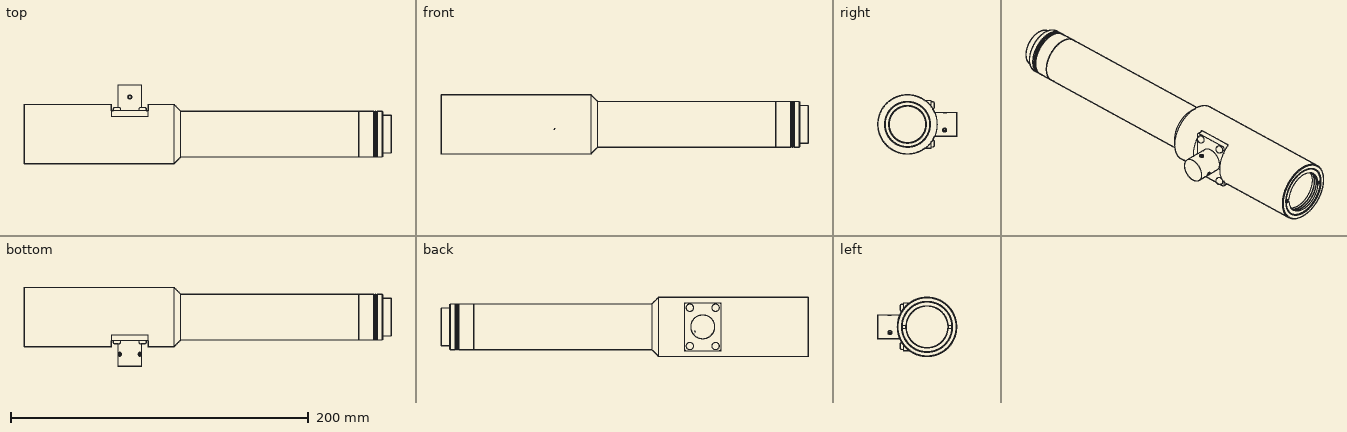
import cadquery as cq
import math


total_length = 247.0
head_radius = 40.0 / 2
tube_radius = 31.0 / 2
nose_radius = 25.5 / 2
head_edge_chamfer = 0.5
cone_length = head_radius - tube_radius
cone_start = 100.8
collar_start = 224.8
collar_end = 241.0
collar_chamfer = 0.5
nose_chamfer = 0.5
seam_width = 0.2
seam_depth = 0.12

groove_start = 234.7
groove_width = 1.5
groove_depth = 0.2
groove_count = 2

ring_radius = 33.3 / 2
ring_bore_radius = 28.0 / 2
ring_relief_radius = 28.7 / 2
ring_relief_start = 1.7
ring_relief_width = 1.7
ring_thickness = 5.2
seat_chamfer = 0.5
slot_width = 2.0
slot_depth = 1.2
slot_wall = 0.2
lens_thickness = 5.0
lens_crown = 0.7

connector_x = 71.1
seat_y = 11.9
seat_width = 24.7
flange_height = 32.0
flange_thickness = 4.0
flange_corner_radius = 1.2
barrel_radius = 16.0 / 2
barrel_end_y = 33.0
barrel_hole_y = 25.0
barrel_hole_mouth_radius = 2.7 / 2
barrel_hole_mouth_depth = 0.7
barrel_hole_radius = 2.05 / 2
barrel_hole_depth = 2.0
barrel_hole_count = 3

screw_half_pitch_x = 8.6
screw_half_pitch_z = 12.8
screw_head_radius = 5.0 / 2
screw_head_height = 2.2
screw_head_round = 1.2
screw_shank_radius = 2.7 / 2
screw_grip = 2.5

flange_top_y = seat_y + flange_thickness
screw_places = [
    (connector_x + side_x * screw_half_pitch_x, side_z * screw_half_pitch_z)
    for side_x in (-1, 1)
    for side_z in (-1, 1)
]


def cylinder_x(start, length, radius):
    """Cylinder on the optical axis."""
    return cq.Workplane("YZ").workplane(offset=start).circle(radius).extrude(length)


def cylinder_y(x, z, start, length, radius):
    """Cylinder that points toward +Y."""
    axis_start = cq.Vector(x, start, z)
    return cq.Workplane(obj=cq.Solid.makeCylinder(radius, length, axis_start, cq.Vector(0, 1, 0)))


def revolve_about_x(points):
    """Turn a closed outline of (x, radius) points about the optical axis."""
    return cq.Workplane("XY").polyline(points).close().revolve(360, (0, 0, 0), (1, 0, 0))


def make_lens():
    """Convex front face and flat back."""
    back = ring_thickness + lens_thickness
    edge = ring_thickness + lens_crown
    sphere_radius = (ring_radius**2 + lens_crown**2) / (2 * lens_crown)
    half_angle = math.asin(ring_radius / sphere_radius) / 2
    arc_middle = (
        ring_thickness + sphere_radius * (1 - math.cos(half_angle)),
        sphere_radius * math.sin(half_angle),
    )
    return (
        cq.Workplane("XY")
        .moveTo(ring_thickness, 0)
        .threePointArc(arc_middle, (edge, ring_radius))
        .lineTo(back, ring_radius)
        .lineTo(back, 0)
        .close()
        .revolve(360, (0, 0, 0), (1, 0, 0))
    )


def make_ring():
    """Retaining ring in front of the lens, with two spanner slots and a relief inside its bore."""
    ring = cylinder_x(0, ring_thickness, ring_radius).cut(cylinder_x(0, ring_thickness, ring_bore_radius))
    slots = cq.Workplane("XY").box(2 * slot_depth, 2 * (ring_radius - slot_wall), slot_width)
    relief = cylinder_x(ring_relief_start, ring_relief_width, ring_relief_radius)
    return ring.cut(slots).cut(relief)


def make_flange():
    """Connector plate with rounded corners that lies on the flat seat."""
    return (
        cq.Workplane("XY")
        .box(seat_width, flange_thickness, flange_height)
        .edges("|Y")
        .fillet(flange_corner_radius)
        .translate((connector_x, seat_y + flange_thickness / 2, 0))
    )


def make_barrel_hole():
    """Stepped blind hole to cut into the +Z side of the barrel."""

    def bore(radius, depth):
        return (
            cq.Workplane("XY")
            .workplane(offset=barrel_radius - depth)
            .center(connector_x, barrel_hole_y)
            .circle(radius)
            .extrude(depth)
        )

    mouth = bore(barrel_hole_mouth_radius, barrel_hole_mouth_depth)
    return mouth.union(bore(barrel_hole_radius, barrel_hole_depth))


def make_connector():
    """Flange and barrel, with screw holes and radial holes around the barrel."""
    barrel = cylinder_y(connector_x, 0, seat_y, barrel_end_y - seat_y, barrel_radius)
    connector = make_flange().union(barrel)
    for x, z in screw_places:
        connector = connector.cut(cylinder_y(x, z, seat_y, flange_thickness, screw_shank_radius))
    for index in range(barrel_hole_count):
        angle = index * 360 / barrel_hole_count
        hole = make_barrel_hole().rotate((connector_x, 0, 0), (connector_x, 1, 0), angle)
        connector = connector.cut(hole)
    return connector


def make_screw(x, z):
    """Screw with a rounded head that sits on the flange."""
    head = cylinder_y(x, z, flange_top_y, screw_head_height, screw_head_radius)
    head = head.faces(">Y").edges().fillet(screw_head_round)
    shank_length = flange_thickness + screw_grip
    return head.union(cylinder_y(x, z, seat_y - screw_grip, shank_length, screw_shank_radius))


def make_collar_groove(start):
    """Ring with a V-shaped section to cut from the collar."""
    return revolve_about_x(
        [
            (start, tube_radius),
            (start + groove_width / 2, tube_radius - groove_depth),
            (start + groove_width, tube_radius),
        ]
    )


def make_housing(lens):
    """Turned body with a front recess, a flat connector seat and screw holes."""
    outline = [
        (0, 0),
        (0, head_radius - head_edge_chamfer),
        (head_edge_chamfer, head_radius),
        (cone_start, head_radius),
        (cone_start + cone_length, tube_radius),
        (collar_start, tube_radius),
        (collar_start, tube_radius - seam_depth),
        (collar_start + seam_width, tube_radius - seam_depth),
        (collar_start + seam_width, tube_radius),
        (collar_end - collar_chamfer, tube_radius),
        (collar_end, tube_radius - collar_chamfer),
        (collar_end, nose_radius),
        (total_length - nose_chamfer, nose_radius),
        (total_length, nose_radius - nose_chamfer),
        (total_length, 0),
    ]
    housing = revolve_about_x(outline)
    for index in range(groove_count):
        housing = housing.cut(make_collar_groove(groove_start + index * groove_width))

    recess_mouth = revolve_about_x(
        [(0, 0), (0, ring_radius + seat_chamfer), (seat_chamfer, ring_radius), (seat_chamfer, 0)]
    )
    ring_recess = cylinder_x(0, ring_thickness + lens_crown, ring_radius)
    housing = housing.cut(recess_mouth).cut(ring_recess).cut(lens)

    seat_height = head_radius - seat_y
    seat = (
        cq.Workplane("XY")
        .box(seat_width, seat_height, 2 * head_radius)
        .translate((connector_x, seat_y + seat_height / 2, 0))
    )
    housing = housing.cut(seat)
    for x, z in screw_places:
        housing = housing.cut(cylinder_y(x, z, seat_y - screw_grip, screw_grip, screw_shank_radius))
    return housing


lens = make_lens()
ring = make_ring()
connector = make_connector()
screws = [make_screw(x, z) for x, z in screw_places]
housing = make_housing(lens)

result = cq.Compound.makeCompound(
    [housing.val(), lens.val(), ring.val(), connector.val(), *[screw.val() for screw in screws]]
)